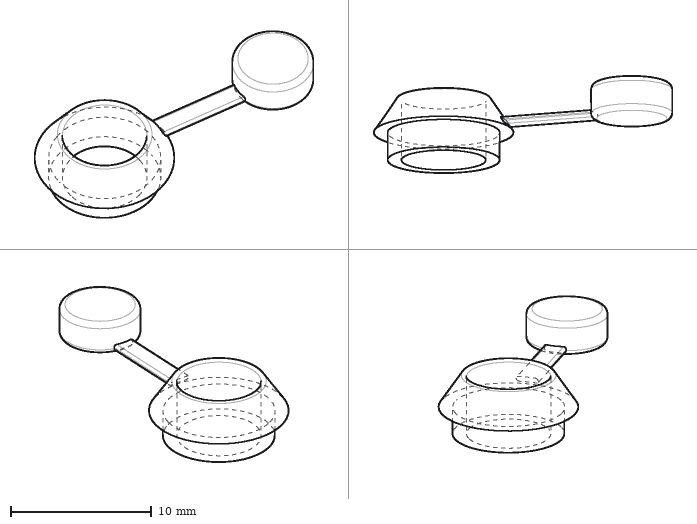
import math

import cadquery as cq

overall_length = 21.98
flange_diameter = 9.98
bore_diameter = 6.02
collar_diameter = 8.0
cone_height = 2.5
collar_depth = 2.02
rim_round = 0.2

cap_diameter = 5.8
cap_height = 2.5
cap_fillet = 0.4

strap_width = 1.63
strap_thickness = 0.48
strap_bottom = 0.2
strap_edge_fillet = 0.2

side_offset = -0.07

flange_radius = flange_diameter / 2
bore_radius = bore_diameter / 2
collar_radius = collar_diameter / 2
cap_center_y = overall_length - flange_radius - cap_diameter / 2
strap_start_y = (bore_radius + collar_radius) / 2
strap_length = cap_center_y - strap_start_y


def make_ring():
    """Hollow cone on a straight collar, its rim rounded tangent to cone and bore."""
    round_center_r = bore_radius + rim_round
    round_center_z = cone_height - rim_round

    run = flange_radius - round_center_r
    distance = math.hypot(run, round_center_z)
    normal_angle = math.acos(rim_round / distance) - math.atan2(round_center_z, run)

    def on_round(angle):
        return (
            round_center_r + rim_round * math.cos(angle),
            round_center_z + rim_round * math.sin(angle),
        )

    return (
        cq.Workplane("XZ")
        .moveTo(bore_radius, -collar_depth)
        .lineTo(collar_radius, -collar_depth)
        .lineTo(collar_radius, 0)
        .lineTo(flange_radius, 0)
        .lineTo(*on_round(normal_angle))
        .threePointArc((round_center_r, cone_height), (bore_radius, round_center_z))
        .close()
        .revolve(360, (0, 0), (0, 1))
    )


def make_cap():
    """Solid round cap with both rims rounded."""
    return (
        cq.Workplane("XY", origin=(side_offset, cap_center_y, 0))
        .circle(cap_diameter / 2)
        .extrude(cap_height)
        .faces("<Z or >Z")
        .edges()
        .fillet(cap_fillet)
    )


def make_strap():
    """Flat strap with rounded long edges, ending inside the ring wall and the cap."""
    strap_center_y = strap_start_y + strap_length / 2
    return (
        cq.Workplane("XY", origin=(side_offset, strap_center_y, strap_bottom))
        .rect(strap_width, strap_length)
        .extrude(strap_thickness)
        .edges("|Y")
        .fillet(strap_edge_fillet)
    )


result = make_ring().union(make_strap()).union(make_cap())